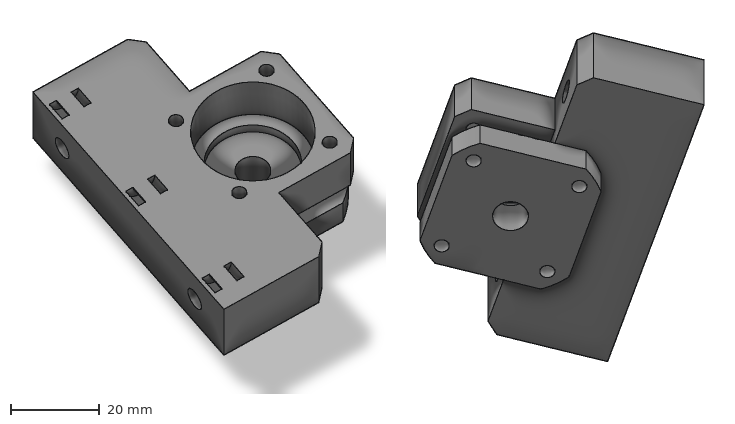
import cadquery as cq

base_width = 75.0
total_depth = 51.7
base_depth = 29.0
block_height = 17.0
tab_height = 12.0
tab_width = 35.0
corner_chamfer = 3.0

boss_diameter = 28.0
bore_y = total_depth - tab_width / 2
screw_diameter = 3.4
screw_pitch = 24.8

mount_diameter = 5.3
mount_pitch = 52.05

tie_pitch = 30.0
tie_width = 5.0
tie_inner_radius = 2.0
tie_outer_radius = 4.0
tie_y = 5.0

flange_size = tab_width
flange_thickness = 7.0
flange_corner_diameter = 43.0
recess_diameter = 22.0
recess_depth = 2.55
shaft_diameter = 8.0

block_top = flange_thickness + block_height
tab_bottom = block_top - tab_height


def vertical_cylinder(diameter, bottom, top):
    """Cylinder on the bore axis between two heights."""
    return (
        cq.Workplane("XY", origin=(0, bore_y, bottom))
        .circle(diameter / 2)
        .extrude(top - bottom)
    )


def screw_holes():
    """Four vertical cutters around the bore, as tall as the whole assembly."""
    return (
        cq.Workplane("XY", origin=(0, bore_y, 0))
        .rect(screw_pitch, screw_pitch, forConstruction=True)
        .vertices()
        .circle(screw_diameter / 2)
        .extrude(block_top)
    )


def chamfered_plate(width, depth, bottom):
    """Plate from the front face up to the block top, with its rear corners chamfered."""
    return (
        cq.Workplane("XY", origin=(0, depth / 2, bottom))
        .rect(width, depth)
        .extrude(block_top - bottom)
        .edges("|Z and >Y")
        .chamfer(corner_chamfer)
    )


def mount_holes():
    """Two horizontal cutters at mid height of the base."""
    mid_height = flange_thickness + block_height / 2
    return (
        cq.Workplane("XZ", origin=(0, 0, mid_height))
        .pushPoints([(-mount_pitch / 2, 0), (mount_pitch / 2, 0)])
        .circle(mount_diameter / 2)
        .extrude(-base_depth)
    )


def tie_channel(x):
    """Ring about an X-parallel axis in the top face; its lower half cuts the block."""
    return (
        cq.Workplane("YZ", origin=(x - tie_width / 2, tie_y, block_top))
        .circle(tie_outer_radius)
        .circle(tie_inner_radius)
        .extrude(tie_width)
    )


def make_block():
    base = chamfered_plate(base_width, base_depth, flange_thickness)
    tab = chamfered_plate(tab_width, total_depth, tab_bottom)
    block = base.union(tab)
    block = block.cut(vertical_cylinder(boss_diameter, flange_thickness, block_top))
    block = block.cut(screw_holes()).cut(mount_holes())
    for x in (-tie_pitch, 0, tie_pitch):
        block = block.cut(tie_channel(x))
    return block


def make_bearing_flange():
    plate = (
        cq.Workplane("XY", origin=(0, bore_y, 0))
        .rect(flange_size, flange_size)
        .extrude(flange_thickness)
        .intersect(vertical_cylinder(flange_corner_diameter, 0, flange_thickness))
    )
    flange = plate.union(vertical_cylinder(boss_diameter, flange_thickness, tab_bottom))
    flange = flange.cut(vertical_cylinder(recess_diameter, tab_bottom - recess_depth, tab_bottom))
    flange = flange.cut(vertical_cylinder(shaft_diameter, 0, tab_bottom))
    return flange.cut(screw_holes())


block = make_block()
bearing_flange = make_bearing_flange()

result = cq.Compound.makeCompound([block.val(), bearing_flange.val()])